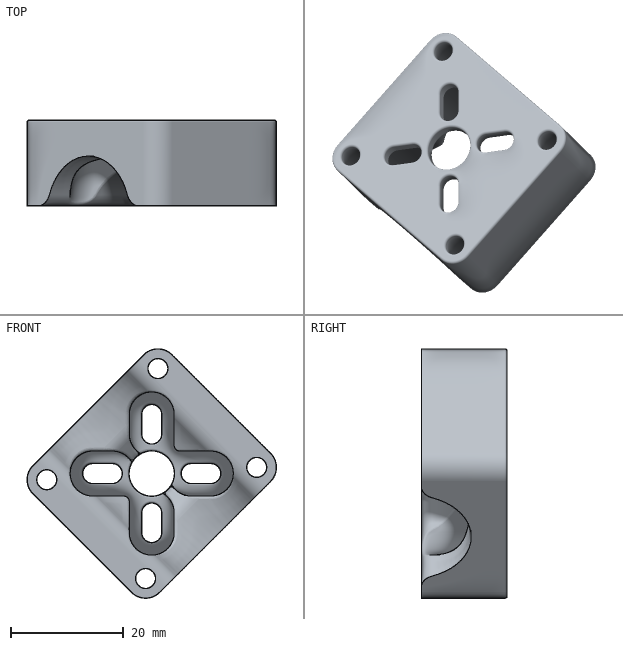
import cadquery as cq
import math

OVERALL_SIZE = 44.3
DEPTH = 15.25
TURN_ANGLE = -45.0
BACK_EDGE_FILLET = 0.4

HOLE_SPACING_LONG = 27.9
HOLE_SPACING_SHORT = 24.8
HOLE_DIAMETER = 3.5
CORNER_RADIUS = OVERALL_SIZE / 2 - (HOLE_SPACING_LONG + HOLE_SPACING_SHORT) / 2 / math.sqrt(2)
BLOCK_LONG = HOLE_SPACING_LONG + 2 * CORNER_RADIUS
BLOCK_SHORT = HOLE_SPACING_SHORT + 2 * CORNER_RADIUS

CHANNEL_RADIUS = 10.4
CHANNEL_DEPTH = 8.85
CHANNEL_LIP_RADIUS = 3.0

FLOOR_THICKNESS = 2.5
FLOOR_Y = DEPTH - FLOOR_THICKNESS
BORE_DIAMETER = 8.0
SLOT_WIDTH = 3.5
SLOT_INNER_CENTRE = 7.0
SLOT_OUTER_CENTRE = 10.5
OPENING_FILLET = 0.4

ARM_WIDTH = 7.98
ARM_ANGLES = (0, 90, 180, 270)
INNER_CORNER_RADIUS = 1.0
POCKET_EDGE_FILLET = 0.5

RAMP_WIDTH = 8.85
RAMP_ANGLE = 45.0
RAMP_FILLET = 3.0
RAMP_TIP_WIDTH = 2.05

SELECTION_MARGIN = 0.05


def make_block():
    """Block with its front face on Y = 0, long side on X and short side on Z."""
    block = cq.Workplane("XZ").rect(BLOCK_LONG, BLOCK_SHORT).extrude(-DEPTH)
    return block.edges("|Y").fillet(CORNER_RADIUS)


def make_channel():
    """Channel cutter: a round bottom flowing into convex lips at the front face."""
    axis_y = CHANNEL_DEPTH - CHANNEL_RADIUS
    lip_y = CHANNEL_LIP_RADIUS
    centre_distance = CHANNEL_RADIUS + CHANNEL_LIP_RADIUS
    lip_angle = math.asin((lip_y - axis_y) / centre_distance)
    lip_x = centre_distance * math.cos(lip_angle)
    join_x = CHANNEL_RADIUS * math.cos(lip_angle)
    join_y = axis_y + CHANNEL_RADIUS * math.sin(lip_angle)
    mid_angle = (lip_angle + math.pi / 2) / 2
    mid_x = lip_x - CHANNEL_LIP_RADIUS * math.sin(mid_angle)
    mid_y = lip_y - CHANNEL_LIP_RADIUS * math.cos(mid_angle)
    return (
        cq.Workplane("XY")
        .moveTo(-lip_x, 0)
        .threePointArc((-mid_x, mid_y), (-join_x, join_y))
        .threePointArc((0, CHANNEL_DEPTH), (join_x, join_y))
        .threePointArc((mid_x, mid_y), (lip_x, 0))
        .close()
        .extrude(BLOCK_SHORT, both=True)
    )


def make_ramps():
    """Cones coaxial with the channel, sloping from its bottom down to the bore at both ends."""
    axis_y = CHANNEL_DEPTH - CHANNEL_RADIUS
    floor_radius = FLOOR_Y - axis_y
    slope = math.radians(RAMP_ANGLE)
    foot_z = BORE_DIAMETER / 2
    crest_z = foot_z + (floor_radius - CHANNEL_RADIUS) / math.tan(slope)
    end_z = crest_z + RAMP_FILLET * math.tan(slope / 2)
    arc_centre_radius = CHANNEL_RADIUS + RAMP_FILLET
    arc_mid = (
        arc_centre_radius - RAMP_FILLET * math.cos(slope / 2),
        end_z - RAMP_FILLET * math.sin(slope / 2),
    )
    arc_start = (
        arc_centre_radius - RAMP_FILLET * math.cos(slope),
        end_z - RAMP_FILLET * math.sin(slope),
    )
    half_cutter = (
        cq.Workplane("YZ", origin=(0, axis_y, 0))
        .polyline([(0, 0), (floor_radius, 0), (floor_radius, foot_z), arc_start])
        .threePointArc(arc_mid, (CHANNEL_RADIUS, end_z))
        .lineTo(0, end_z)
        .close()
        .revolve(360, (0, 0, 0), (0, 1, 0))
    )
    cutter = half_cutter.union(half_cutter.mirror("XY"))
    return cutter.intersect(cq.Workplane("XY").box(RAMP_WIDTH, 2 * FLOOR_Y, 2 * BLOCK_SHORT))


def radial_slots(width, depth):
    """Four round-ended slots pointing away from the centre, cut from the front face plane."""
    slot_run = SLOT_OUTER_CENTRE - SLOT_INNER_CENTRE
    slot_centre = (SLOT_OUTER_CENTRE + SLOT_INNER_CENTRE) / 2
    slot = (
        cq.Workplane("XZ")
        .center(slot_centre, 0)
        .slot2D(slot_run + width, width)
        .extrude(-depth)
    )
    slots = slot
    for angle in ARM_ANGLES[1:]:
        slots = slots.union(slot.rotate((0, 0, 0), (0, 1, 0), angle))
    return slots


def make_pocket():
    """Cross pocket; neighbouring arms join in a square corner on the two lip sides."""
    half = ARM_WIDTH / 2
    reach = SLOT_INNER_CENTRE
    elbow = (
        cq.Workplane("XZ")
        .polyline([(0, 0), (reach, 0), (reach, half), (half, half), (half, reach), (0, reach)])
        .close()
        .extrude(-FLOOR_Y)
        .edges(cq.selectors.NearestToPointSelector((half, FLOOR_Y / 2, half)))
        .fillet(INNER_CORNER_RADIUS)
    )
    opposite_elbow = elbow.rotate((0, 0, 0), (0, 1, 0), 180)
    centre = cq.Workplane("XZ").circle(BORE_DIAMETER / 2).extrude(-FLOOR_Y)
    return radial_slots(ARM_WIDTH, FLOOR_Y).union(elbow).union(opposite_elbow).union(centre)


def make_corner_holes():
    """Four through holes in the corners of the unturned block."""
    return (
        cq.Workplane("XZ")
        .rect(HOLE_SPACING_LONG, HOLE_SPACING_SHORT, forConstruction=True)
        .vertices()
        .circle(HOLE_DIAMETER / 2)
        .extrude(-DEPTH)
    )


def round_pocket_rim(body):
    """Round the curved edges where the pocket walls meet the channel and the ramps."""
    reach = SLOT_OUTER_CENTRE + ARM_WIDTH / 2 + SELECTION_MARGIN
    pocket_space = cq.selectors.BoxSelector(
        (-reach, 0, -reach), (reach, FLOOR_Y - POCKET_EDGE_FILLET, reach), boundingbox=True
    )
    return body.edges("%BSPLINE or %ELLIPSE").edges(pocket_space).fillet(POCKET_EDGE_FILLET)


def floor_zone(x_range, z_range):
    """Selector for floor edges that lie inside the given X and Z ranges."""
    return cq.selectors.BoxSelector(
        (x_range[0], FLOOR_Y - SELECTION_MARGIN, z_range[0]),
        (x_range[1], FLOOR_Y + SELECTION_MARGIN, z_range[1]),
        boundingbox=True,
    )


def round_slots(body):
    """Round the floor edges of the four slots."""
    side = (-SLOT_WIDTH / 2 - SELECTION_MARGIN, SLOT_WIDTH / 2 + SELECTION_MARGIN)
    near = SLOT_INNER_CENTRE - SLOT_WIDTH / 2 - SELECTION_MARGIN
    far = SLOT_OUTER_CENTRE + SLOT_WIDTH / 2 + SELECTION_MARGIN
    for zone in (
        floor_zone((near, far), side),
        floor_zone((-far, -near), side),
        floor_zone(side, (near, far)),
        floor_zone(side, (-far, -near)),
    ):
        body = body.edges(zone).fillet(OPENING_FILLET)
    return body


def make_bore():
    """Central through bore."""
    return cq.Workplane("XZ").circle(BORE_DIAMETER / 2).extrude(-DEPTH)


def make_bore_mouth():
    """Rounded mouth of the bore at the floor, interrupted where the ramps reach the bore."""
    radius = BORE_DIAMETER / 2
    outer_radius = radius + OPENING_FILLET
    base_y = FLOOR_Y + OPENING_FILLET
    offset = OPENING_FILLET * math.sin(math.pi / 4)
    mouth = (
        cq.Workplane("XY")
        .moveTo(0, FLOOR_Y)
        .lineTo(outer_radius, FLOOR_Y)
        .threePointArc((outer_radius - offset, base_y - offset), (radius, base_y))
        .lineTo(0, base_y)
        .close()
        .revolve(360, (0, 0, 0), (0, 1, 0))
    )
    ramp_strip = cq.Workplane("XY").box(RAMP_TIP_WIDTH, 2 * DEPTH, 4 * outer_radius)
    return mouth.cut(ramp_strip.translate((0, DEPTH, 0)).rotate((0, 0, 0), (0, 1, 0), TURN_ANGLE))


def round_back(body):
    """Round every edge of the back face: the outline and all openings."""
    return body.faces(">Y").edges().fillet(BACK_EDGE_FILLET)


body = make_block().cut(make_channel()).cut(make_ramps()).cut(make_corner_holes())
body = body.rotate((0, 0, 0), (0, 1, 0), TURN_ANGLE)
body = round_pocket_rim(body.cut(make_pocket()))
body = round_slots(body.cut(radial_slots(SLOT_WIDTH, DEPTH)))
body = body.cut(make_bore()).cut(make_bore_mouth())
result = round_back(body)